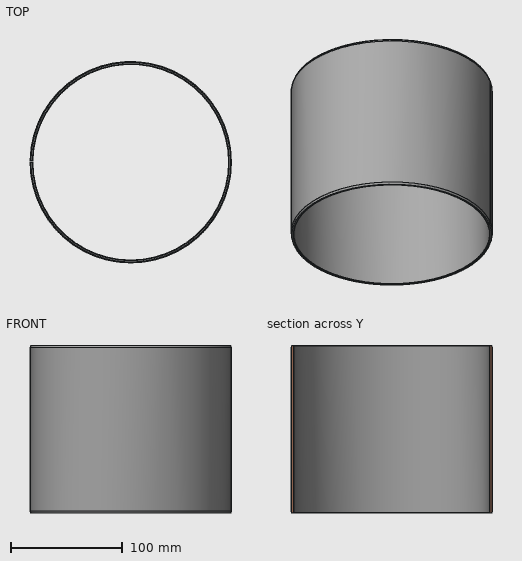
import cadquery as cq

outer_diameter = 180.0
height = 150.0
wall = 2.5
outer_bevel_height = 2.0
outer_bevel_depth = 0.7
inner_bevel = 0.5
slit_width = 1.51
slit_start = 0.0

outer_radius = outer_diameter / 2
inner_radius = outer_radius - wall
rim_outer_radius = outer_radius - outer_bevel_depth
rim_inner_radius = inner_radius + inner_bevel
half_height = height / 2
outer_bevel_start = half_height - outer_bevel_height
inner_bevel_start = half_height - inner_bevel

wall_profile = [
    (inner_radius, -inner_bevel_start),
    (rim_inner_radius, -half_height),
    (rim_outer_radius, -half_height),
    (outer_radius, -outer_bevel_start),
    (outer_radius, outer_bevel_start),
    (rim_outer_radius, half_height),
    (rim_inner_radius, half_height),
    (inner_radius, inner_bevel_start),
]
tube = cq.Workplane("XZ").polyline(wall_profile).close().revolve(360, (0, 0), (0, 1))

slit = (
    cq.Workplane("XY")
    .box(outer_radius, slit_width, height, centered=(False, False, True))
    .translate((-outer_radius, slit_start, 0))
)

result = tube.cut(slit)